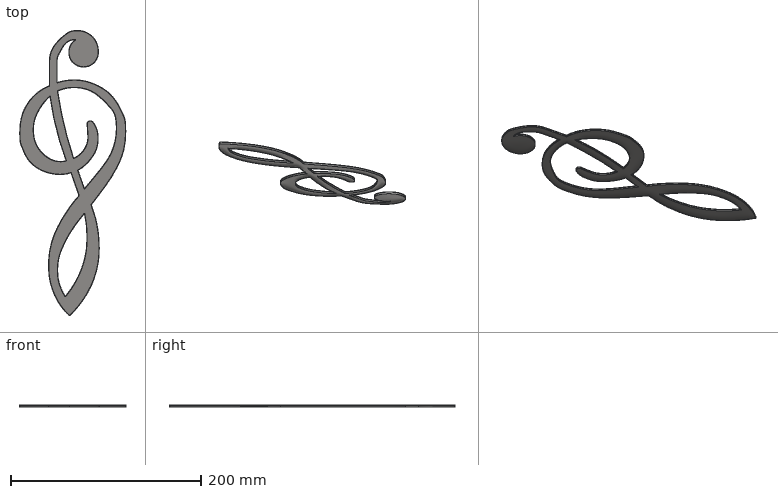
import cadquery as cq
import math

length = 300.0
width = 111.5
thickness = 2.0
cutter_depth = 2 * thickness

top_y = length / 2
right_x = width / 2
left_x = -right_x
tip = (-3.3, -length / 2)

neck_left_x = -24.5
neck_width = 8.0
neck_right_x = neck_left_x + neck_width
neck_top_y = 117.0

ball_x = 11.5
ball_y = 127.2
ball_radius = 15.5
cusp_angle = math.radians(122)
ball_underside_angle = math.radians(-120)
scroll_crest = (4.8, top_y)

neck_ring_corner = (neck_left_x, 91.8)
neck_loop_corner = (neck_right_x, 95.0)
crossing_right = (19.5, -33.3)
crossing_left = (6.5, -23.7)
stem_ring_corner = (-1.8, 0.3)

RIGHT = (1, 0)
LEFT = (-1, 0)
UP = (0, 1)
DOWN = (0, -1)


def ball_point(angle):
    """Point on the rim of the ball, with the angle measured from +X."""
    return (ball_x + ball_radius * math.cos(angle), ball_y + ball_radius * math.sin(angle))


def extrude_outline(outline, depth):
    return outline.close().extrude(depth / 2, both=True)


def curve(outline, *stops, start=None):
    """Add one smooth curve; a stop is a point, or a (point, direction) pair.

    start is the direction in which the curve leaves the end of the outline, if it is fixed.
    """
    points = []
    directions = [start]
    for stop in stops:
        has_direction = isinstance(stop[0], tuple)
        points.append(stop[0] if has_direction else stop)
        directions.append(stop[1] if has_direction else None)
    return outline.spline(points, tangents=directions, includeCurrent=True)


def clef_blank():
    """Plate bounded by the outer edge of the clef, without its openings."""
    edge = cq.Workplane("XY").moveTo(*neck_ring_corner)

    edge = edge.lineTo(neck_left_x, neck_top_y)
    edge = curve(edge, (-18.3, 135.5), (-6.5, 146.7), (scroll_crest, RIGHT), start=UP)
    edge = curve(edge, (19.5, 144.5), (ball_point(0), DOWN), start=RIGHT)
    edge = edge.threePointArc(ball_point(ball_underside_angle), ball_point(cusp_angle))
    edge = curve(edge, (-7.8, 136.2), (-13.8, 126.5), ((neck_right_x, neck_top_y), DOWN))
    edge = edge.lineTo(*neck_loop_corner)

    edge = curve(edge, ((2.5, 98.0), RIGHT), (26.0, 92.0), (42.5, 79.5), (52.5, 62.7), ((right_x, 43.5), DOWN))
    edge = curve(edge, (53.5, 23.5), (40.0, -5.5), crossing_right, start=DOWN)

    edge = curve(edge, (25.2, -52.5), ((28.0, -79.5), DOWN), (25.2, -102.0), (15.0, -127.0), tip)
    edge = curve(edge, (-15.5, -135.0), (-23.5, -115.8), ((-25.5, -96.5), UP), (-12.3, -50.0), crossing_left)
    edge = edge.lineTo(*stem_ring_corner)

    edge = curve(edge, ((-13.2, -1.5), LEFT), (-25.8, 0.3), (-47.7, 15.3), (-54.0, 28.5), ((left_x, 42.5), UP))
    edge = curve(edge, (-51.3, 66.3), (-41.7, 80.5), neck_ring_corner, start=UP)
    return extrude_outline(edge, thickness)


def ring_opening():
    """Half-moon opening left of the stem."""
    upper_corner = (-24.0, 81.0)
    lower_corner = (-7.0, 13.0)
    edge = cq.Workplane("XY").moveTo(*upper_corner)
    edge = curve(edge, (-36.0, 65.7), ((-41.5, 46.0), DOWN), (-37.5, 28.5), (-23.5, 14.7), lower_corner)
    edge = edge.threePointArc((-18.0, 49.2), upper_corner)
    return extrude_outline(edge, cutter_depth)


def loop_opening():
    """Opening of the large loop right of the stem, running round the hook."""
    upper_corner = (-16.0, 86.5)
    crossing_top = (12.3, -16.5)
    hook_outer_corner = (5.5, 3.0)
    hook_inner_corner = (1.0, 15.5)
    hook_tip_right = (21.0, 54.0)
    hook_tip_left = (15.0, 52.5)
    edge = cq.Workplane("XY").moveTo(*upper_corner)
    edge = curve(edge, ((1.5, 90.0), RIGHT), (19.5, 86.0), (38.5, 70.2), ((46.0, 47.0), DOWN))
    edge = curve(edge, (39.3, 19.0), (29.7, 4.5), crossing_top, start=DOWN)
    edge = edge.lineTo(*hook_outer_corner)
    edge = curve(edge, (18.3, 14.0), ((26.7, 36.0), UP), hook_tip_right)
    edge = edge.threePointArc((19.2, 55.0), hook_tip_left)
    edge = curve(edge, (16.0, 41.5), (15.0, 31.2), (10.5, 22.8), hook_inner_corner)
    edge = edge.threePointArc((-8.7, 49.2), upper_corner)
    return extrude_outline(edge, cutter_depth)


def foot_opening():
    """Leaf-shaped opening in the foot below the crossing."""
    upper_corner = (12.3, -42.3)
    lower_corner = (-7.8, -130.0)
    edge = cq.Workplane("XY").moveTo(*upper_corner)
    edge = curve(edge, (-1.0, -59.7), (-11.0, -79.0), ((-16.0, -102.0), DOWN), (-13.2, -119.0), lower_corner)
    edge = curve(edge, (7.0, -106.5), (13.2, -87.0), ((15.0, -67.5), UP), upper_corner)
    return extrude_outline(edge, cutter_depth)


result = clef_blank().cut(ring_opening()).cut(loop_opening()).cut(foot_opening())